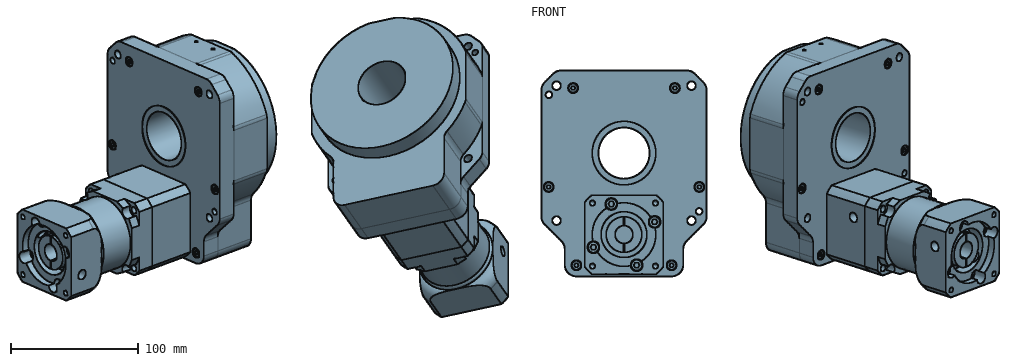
import cadquery as cq
import math


table_half = 65.0
plate_thick = 15.0
plate_corner_cut = 12.0
plate_corner_round = 9.0
tab_half = 46.7
tab_bottom = -97.0
tab_corner_round = 9.5
tab_blend_round = 8.5
tab_start = -53.4

housing_length = 35.6
housing_radius = 69.0
housing_blend_round = 8.5
flange_length = 14.8
flange_radius = 60.0
flange_flat_height = 59.0
bore_dia = 40.0
bore_ring_dia = 50.0
bore_ring_drop = 0.5

tapped_dia = 2.5
tapped_depth = 6.0
housing_tapped_x = 9.75
housing_tapped_inset = 6.8
flange_tapped_x = 7.0
flange_tapped_inset = 9.3

mount_hole_dia = 6.6
mount_hole_offset = 53.0
dowel_dia = 5.0
dowel_x = 59.0
dowel_z = 45.8
plate_screw_spots = [(40.0, 51.1), (59.2, -26.6), (37.4, -88.1)]

input_z = -64.0
square_half = 31.0
square_corner_radius = 40.0
adapter_length = 41.0
adapter_hub_radius = 18.0
access_dia = 8.0
adapter_access_inset = 28.6
adapter_access_height = 12.8

reducer_flange_length = 21.6
ring_gear_radius = 29.5
ring_gear_length = 28.6
collar_radius = 30.8
collar_length = 3.5
motor_block_length = 36.4
bolt_offset = 35.0 * math.cos(math.radians(45))

notch_depth = 8.0
notch_start = 13.7
notch_flank_angle = 145.0
bolt_clear_dia = 5.5
bolt_head_dia = 9.5
motor_tap_dia = 4.2
motor_tap_depth = 10.0
drill_point_angle = 118.0

motor_pilot_dia = 50.0
motor_pilot_depth = 6.0
hub_space_dia = 36.0
hub_space_depth = 18.0
hub_dia = 28.0
hub_face_depth = 6.9
hub_bore_dia = 14.0
hub_bore_depth = 28.0
hub_slot_width = 0.8
motor_access_inset = 11.8
motor_access_height = 10.3
block_screw_circle_radius = 26.0
block_screw_angle = 22.5

housing_back = plate_thick + housing_length
flange_back = housing_back + flange_length
reducer_back = -adapter_length
reducer_flange_front = reducer_back - reducer_flange_length
ring_gear_front = reducer_flange_front - ring_gear_length
collar_front = ring_gear_front - collar_length
reducer_front = reducer_flange_front - ring_gear_length - motor_block_length

M4 = {"recess": 8.0, "head": 7.0, "hex": 3.0, "height": 4.0, "drop": 0.6}
M5 = {"recess": 9.5, "head": 8.5, "hex": 4.0, "height": 5.0, "drop": 11.0}
hex_depth = 2.0


def section(y, z=0.0):
    """Sketch plane facing -Y, with local x along X and local y along Z."""
    return cq.Workplane("XZ", origin=(0, y, z))


def rod(dia, y_front, length, x=0.0, z=0.0):
    """Cylinder along Y, from y_front back towards +Y."""
    return section(y_front).center(x, z).circle(dia / 2).extrude(-length)


def screw_recess(size, y_front, x, z):
    """Material to remove so that a socket screw head stands in its recess."""
    head_y = y_front + size["drop"]
    recess = rod(size["recess"], y_front, size["drop"] + size["height"], x, z)
    head = rod(size["head"], head_y, size["height"], x, z)
    hexagon = (
        section(head_y)
        .center(x, z)
        .polygon(6, size["hex"] / math.cos(math.pi / 6))
        .extrude(-hex_depth)
    )
    return recess.cut(head).union(hexagon)


def turned_square(y_front, length):
    """Square block on the input axis whose corners are turned round."""
    square = section(y_front, input_z).rect(2 * square_half, 2 * square_half).extrude(-length)
    return square.intersect(rod(2 * square_corner_radius, y_front, length, z=input_z))


def access_hole(y, height, hub_radius):
    """Hole from the -X side that ends on the round hub of the input axis."""
    hole = (
        cq.Workplane("YZ", origin=(-square_half, y, input_z + height))
        .circle(access_dia / 2)
        .extrude(square_half)
    )
    hub = rod(2 * hub_radius, y - access_dia, 2 * access_dia, z=input_z)
    return hole.cut(hub)


def mounting_plate():
    shoulder = table_half - plate_corner_cut
    turn_in = table_half - tab_half
    right_side = [
        (shoulder, table_half),
        (table_half, shoulder),
        (table_half, tab_start),
        (tab_half, tab_start - turn_in),
        (tab_half, tab_bottom),
    ]
    left_side = [(-x, z) for x, z in reversed(right_side)]
    plate = section(0).polyline(right_side + left_side).close().extrude(-plate_thick)

    def round_corners(body, z_low, z_high, radius):
        reach = 2 * table_half
        zone = cq.selectors.BoxSelector((-reach, -1, z_low), (reach, plate_thick + 1, z_high))
        return body.edges("|Y").edges(zone).fillet(radius)

    plate = round_corners(plate, 0, table_half + 1, plate_corner_round)
    plate = round_corners(plate, tab_bottom + 1, 0, tab_blend_round)
    return round_corners(plate, tab_bottom - 1, tab_bottom + 1, tab_corner_round)


def housing():
    body = rod(2 * housing_radius, plate_thick, housing_length)
    body = body.intersect(
        section(plate_thick).rect(2 * table_half, 2 * table_half).extrude(-housing_length)
    )
    tab = (
        section(plate_thick)
        .center(0, tab_bottom / 2)
        .rect(2 * tab_half, -tab_bottom)
        .extrude(-housing_length)
    )
    tab = tab.edges("|Y and <Z").fillet(tab_corner_round)
    body = body.union(tab)
    above_tab_corners = cq.selectors.BoxSelector(
        (-2 * table_half, 0, tab_bottom + 2 * tab_corner_round),
        (2 * table_half, 2 * housing_back, 2 * table_half),
    )
    return body.edges("|Y").edges(above_tab_corners).fillet(housing_blend_round)


def output_flange():
    disc = rod(2 * flange_radius, housing_back, flange_length)
    top = section(housing_back).center(0, flange_flat_height + flange_radius)
    return disc.cut(top.rect(2 * flange_radius, 2 * flange_radius).extrude(-flange_length))


def tapped_hole(x, y, top):
    return cq.Workplane("XY", origin=(x, y, top)).circle(tapped_dia / 2).extrude(-tapped_depth)


def rotary_table():
    table = mounting_plate().union(housing(), clean=False).union(output_flange(), clean=False)
    table = table.union(turned_square(reducer_back, adapter_length), clean=False)

    cuts = [rod(bore_dia, 0, flange_back), rod(bore_ring_dia, 0, bore_ring_drop)]
    for side in (-1, 1):
        for z in (-mount_hole_offset, mount_hole_offset):
            cuts.append(rod(mount_hole_dia, 0, plate_thick, side * mount_hole_offset, z))
        cuts.append(rod(dowel_dia, 0, plate_thick, side * dowel_x, -side * dowel_z))
        for x, z in plate_screw_spots:
            cuts.append(screw_recess(M4, 0, side * x, z))
        cuts.append(tapped_hole(side * housing_tapped_x, housing_back - housing_tapped_inset, table_half))
        cuts.append(
            tapped_hole(side * flange_tapped_x, flange_back - flange_tapped_inset, flange_flat_height)
        )
    cuts.append(access_hole(-adapter_access_inset, adapter_access_height, adapter_hub_radius))
    for cut in cuts:
        table = table.cut(cut, clean=False)
    return table


def corner_notch():
    """Bolt head pocket in the upper right corner of the reducer flange."""
    head_radius = bolt_head_dia / 2
    flank_angle = math.radians(notch_flank_angle)
    flank_x = bolt_offset + head_radius * math.cos(flank_angle)
    flank_z = bolt_offset + head_radius * math.sin(flank_angle)
    inner = bolt_offset - head_radius * math.cos(math.radians(45))
    outside = square_half + 1
    return (
        section(reducer_flange_front, input_z)
        .moveTo(notch_start, outside)
        .lineTo(notch_start, square_half)
        .lineTo(flank_x, flank_z)
        .threePointArc((inner, inner), (flank_z, flank_x))
        .lineTo(square_half, notch_start)
        .lineTo(outside, notch_start)
        .lineTo(outside, outside)
        .close()
        .extrude(-notch_depth)
    )


def motor_block():
    """Square motor block behind which the turned corners sweep down to a rounded collar."""
    sweep = square_corner_radius - collar_radius
    slant = math.sqrt(0.5)
    rise = collar_radius - ring_gear_radius
    profile = (
        cq.Workplane("XY")
        .moveTo(0, ring_gear_front)
        .lineTo(ring_gear_radius, ring_gear_front)
        .threePointArc(
            (ring_gear_radius + rise * slant, ring_gear_front - collar_length * (1 - slant)),
            (collar_radius, collar_front),
        )
        .threePointArc(
            (collar_radius + sweep * slant, collar_front - sweep * (1 - slant)),
            (square_corner_radius, collar_front - sweep),
        )
        .lineTo(square_corner_radius, reducer_front)
        .lineTo(0, reducer_front)
        .close()
    )
    turned = profile.revolve(360, (0, 0), (0, 1)).translate((0, 0, input_z))
    square = section(reducer_front, input_z).rect(2 * square_half, 2 * square_half)
    return turned.intersect(square.extrude(-motor_block_length))


def motor_tap(x, z):
    """Tapped hole with a drill point at its end."""
    radius = motor_tap_dia / 2
    point = radius / math.tan(math.radians(drill_point_angle / 2))
    profile = (
        cq.Workplane("XY")
        .polyline([(0, 0), (radius, 0), (radius, motor_tap_depth), (0, motor_tap_depth + point)])
        .close()
    )
    return profile.revolve(360, (0, 0), (0, 1)).translate((x, reducer_front, input_z + z))


def motor_socket():
    """Pilot recess with the slotted clamping hub standing inside it."""
    pilot = rod(motor_pilot_dia, reducer_front, motor_pilot_depth, z=input_z)
    space = rod(hub_space_dia, reducer_front, hub_space_depth, z=input_z)
    hub_y = reducer_front + hub_face_depth
    hub = rod(hub_dia, hub_y, hub_space_depth - hub_face_depth, z=input_z)
    slot = (
        section(hub_y, input_z)
        .rect(hub_slot_width, hub_dia)
        .extrude(hub_face_depth - hub_space_depth)
    )
    bore = rod(hub_bore_dia, reducer_front, hub_bore_depth, z=input_z)
    return pilot.union(space.cut(hub)).union(slot).union(bore)


def reducer():
    body = turned_square(reducer_flange_front, reducer_flange_length)
    body = body.union(rod(2 * ring_gear_radius, ring_gear_front, ring_gear_length, z=input_z))
    body = body.union(motor_block(), clean=False)
    notch = corner_notch()
    axis_start = (0, 0, input_z)
    axis_end = (0, 1, input_z)
    for turn in range(4):
        body = body.cut(notch.rotate(axis_start, axis_end, 90 * turn))
    for x in (-bolt_offset, bolt_offset):
        for z in (-bolt_offset, bolt_offset):
            body = body.cut(
                rod(bolt_clear_dia, reducer_flange_front, reducer_flange_length, x, input_z + z)
            )
            body = body.cut(motor_tap(x, z))
    body = body.cut(motor_socket())
    for turn in range(4):
        angle = math.radians(block_screw_angle + 90 * turn)
        x = block_screw_circle_radius * math.cos(angle)
        z = input_z + block_screw_circle_radius * math.sin(angle)
        body = body.cut(screw_recess(M5, reducer_front, x, z))
    motor_access = access_hole(reducer_front + motor_access_inset, motor_access_height, hub_dia / 2)
    for turn in range(2):
        body = body.cut(motor_access.rotate(axis_start, axis_end, 180 * turn))
    return body


result = cq.Compound.makeCompound([rotary_table().solids().val(), reducer().solids().val()])